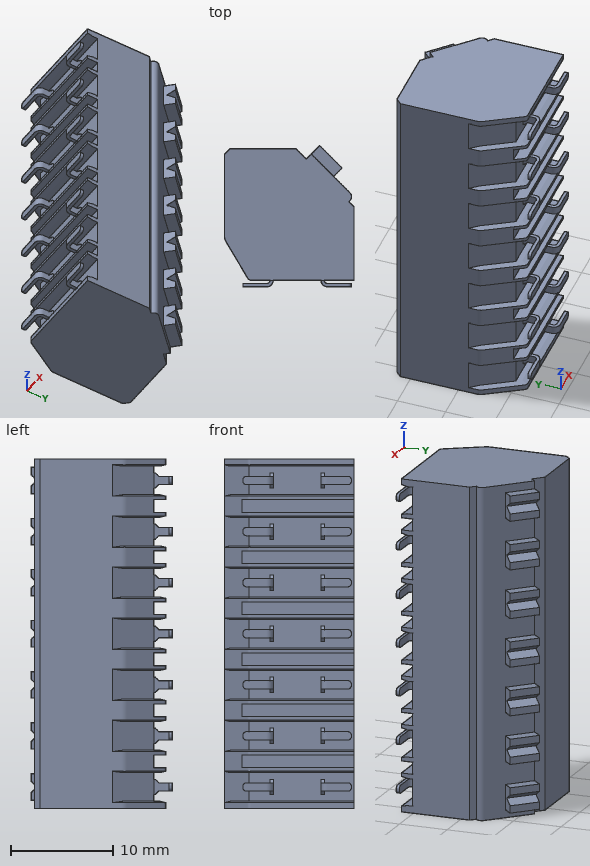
import cadquery as cq
import math


pole_count = 7
pitch = 5.0
length = 34.2
pole_heights = [(i - (pole_count - 1) / 2) * pitch for i in range(pole_count)]
gap_heights = [z + pitch / 2 for z in pole_heights[:-1]]

width = 12.7
depth = 12.85
back_chamfer = 0.55
slant_width = 2.4
slant_depth = 4.05
slant_left_radius = 1.0
slant_front_radius = 0.4

bevel_leg = 5.68
step_start = 1.4
step_end = 7.32
step_height = 0.7
step_radius = 0.55
button_end = 4.5
button_top = 1.85
button_half_height = 1.3
slot_half_width = 0.55
slot_depth = 0.82

recess_depth = 1.15
recess_half_height = 1.55
flare_depth = 0.58
flare_angle = 14.0
gap_half_height = 0.6

pin_thickness = 0.35
pin_half_width = 0.4
pin_drop = 0.65
pin_center = 7.1
pin_inner_offset = 2.33
pin_reach = 5.3
foot_end_radius = 0.35
blade_half_width = 0.75
blade_taper_start = 0.7
overlap = 0.1
clearance = 3.42


def bevel_point(along, out):
    """Point at a distance along the bevel and a height out from it."""
    diagonal = math.sqrt(0.5)
    return (width - bevel_leg + (along + out) * diagonal, depth + (out - along) * diagonal)


def slab(points, bottom, top):
    """Closed polygon in XY, extruded between two heights."""
    return cq.Workplane("XY").workplane(offset=bottom).polyline(points).close().extrude(top - bottom)


def round_corner(body, corner, radius):
    """Round the upright edge that stands at an XY corner."""
    x, y = corner
    tolerance = 0.017
    low_corner = (x - tolerance, y - tolerance, -length)
    high_corner = (x + tolerance, y + tolerance, length)
    at_corner = cq.selectors.BoxSelector(low_corner, high_corner)
    return body.edges("|Z").edges(at_corner).fillet(radius)


def make_housing():
    left_corner = (0, slant_depth)
    front_corner = (slant_width, 0)
    step_corner = bevel_point(step_end, step_height)
    outline = [
        left_corner,
        front_corner,
        (width, 0),
        (width, depth - bevel_leg),
        bevel_point(step_end, 0),
        step_corner,
        bevel_point(step_start, step_height),
        bevel_point(step_start, 0),
        (width - bevel_leg, depth),
        (back_chamfer, depth),
        (0, depth - back_chamfer),
    ]
    body = slab(outline, -length / 2, length / 2)
    body = round_corner(body, left_corner, slant_left_radius)
    body = round_corner(body, front_corner, slant_front_radius)
    return round_corner(body, step_corner, step_radius)


def make_gap():
    """Straight slot across the front, between the walls of neighbouring poles."""
    points = [
        (-clearance, -clearance),
        (width + clearance, -clearance),
        (width + clearance, recess_depth),
        (-clearance, recess_depth),
    ]
    return slab(points, -gap_half_height, gap_half_height)


def make_pole_recess():
    """Pole recess with its floor parallel to the front and slanted faces.

    Its upper and lower walls spread towards the outer faces.
    """
    slope = slant_depth / slant_width
    floor_outline = [
        (-clearance, slant_depth + recess_depth + slope * clearance),
        (slant_width, recess_depth),
        (width + clearance, recess_depth),
        (width + clearance, -clearance),
        (-clearance, -clearance),
    ]
    wall_outline = [
        (0, depth),
        (0, slant_depth),
        (slant_width, 0),
        (width + clearance, 0),
        (width + clearance, depth),
    ]
    flare_rise = flare_depth * math.tan(math.radians(flare_angle))
    lower_wall = (
        cq.Workplane("XY")
        .workplane(offset=-recess_half_height)
        .polyline(wall_outline)
        .close()
        .extrude(flare_rise, taper=90 - flare_angle)
    )
    upper_wall = lower_wall.mirror("XY")
    recess = slab(floor_outline, -recess_half_height, recess_half_height)
    return recess.cut(lower_wall).cut(upper_wall)


def make_button():
    """Push button on the step, with a V slot along its outer face."""
    outline = [
        bevel_point(step_start, step_height - overlap),
        bevel_point(step_start, button_top),
        bevel_point(button_end, button_top),
        bevel_point(button_end, step_height - overlap),
    ]
    body = slab(outline, -button_half_height, button_half_height)
    slot_plane = cq.Plane(
        origin=(*bevel_point(step_start, button_top), 0),
        xDir=(1, 1, 0),
        normal=(1, -1, 0),
    )
    slot = (
        cq.Workplane(slot_plane)
        .polyline([(-slot_depth, 0), (0, slot_half_width), (0, -slot_half_width)])
        .close()
        .extrude(button_end - step_start)
    )
    return body.cut(slot)


def make_left_pin():
    """Gull-wing pin: a blade out of the recess floor, bent into a foot pointing left."""
    inner = pin_center - pin_inner_offset
    outer = inner - pin_thickness
    foot_end = pin_center - pin_reach
    root = recess_depth + overlap
    bend_center = inner - pin_drop
    inner_bend = pin_drop - pin_thickness
    diagonal = math.sqrt(0.5)
    strip = (
        cq.Workplane("XY")
        .workplane(offset=-pin_half_width)
        .moveTo(inner, root)
        .lineTo(inner, 0)
        .threePointArc((bend_center + pin_drop * diagonal, -pin_drop * diagonal), (bend_center, -pin_drop))
        .lineTo(foot_end, -pin_drop)
        .lineTo(foot_end, -inner_bend)
        .lineTo(bend_center, -inner_bend)
        .threePointArc((bend_center + inner_bend * diagonal, -inner_bend * diagonal), (outer, 0))
        .lineTo(outer, root)
        .close()
        .extrude(2 * pin_half_width)
        .faces("<X")
        .edges("|Y")
        .fillet(foot_end_radius)
    )
    taper_end = blade_taper_start + blade_half_width - pin_half_width
    blade = (
        cq.Workplane("YZ")
        .workplane(offset=outer)
        .moveTo(blade_taper_start, pin_half_width)
        .lineTo(taper_end, blade_half_width)
        .lineTo(root, blade_half_width)
        .lineTo(root, -blade_half_width)
        .lineTo(taper_end, -blade_half_width)
        .lineTo(blade_taper_start, -pin_half_width)
        .close()
        .extrude(pin_thickness)
    )
    return strip.union(blade)


def place(body, heights):
    """Copies of a body at each height."""
    return [body.val().translate(cq.Vector(0, 0, z)) for z in heights]


left_pin = make_left_pin()
right_pin = left_pin.mirror("YZ", (pin_center, 0, 0))

cutters = place(make_pole_recess(), pole_heights) + place(make_gap(), gap_heights)
additions = []
for piece in (make_button(), left_pin, right_pin):
    additions += place(piece, pole_heights)

housing = make_housing().val().cut(*cutters)
result = cq.Workplane(housing.fuse(*additions).clean())